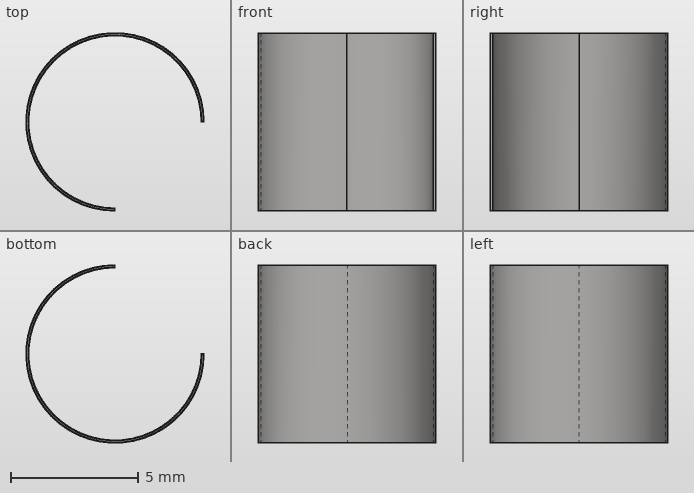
import cadquery as cq

outer_diameter = 7.0
wall_thickness = 0.1
height = 7.0
sweep_angle = 270.0

outer_radius = outer_diameter / 2
inner_radius = outer_radius - wall_thickness


def open_sleeve():
    """Thin-walled tube about Z with the +X, -Y quarter left open."""
    wall_section = (
        cq.Workplane("XZ")
        .moveTo(inner_radius, 0)
        .lineTo(outer_radius, 0)
        .lineTo(outer_radius, height)
        .lineTo(inner_radius, height)
        .close()
    )
    return wall_section.revolve(sweep_angle, axisStart=(0, 0, 0), axisEnd=(0, 1, 0))


result = open_sleeve()